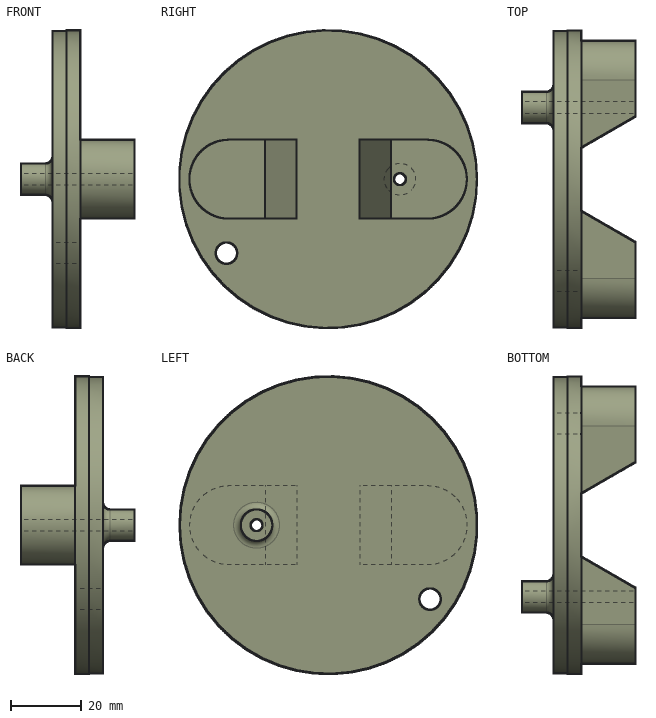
import cadquery as cq
import math

disc_diameter = 85.0
front_layer_diameter = 84.7
layer_thickness = 4.0

spigot_diameter = 9.0
spigot_length = 9.0
spigot_fillet = 2.0
spigot_y = 20.5
bore_diameter = 3.3

plate_hole_diameter = 6.0
plate_hole_y = -29.0
plate_hole_z = -21.1

lug_height = 15.5
lug_width = 22.5
lug_round_y = 28.3
lug_tip_y = 17.9
lug_slope_angle = 30.0

plate_back = 2 * layer_thickness
lug_end = plate_back + lug_height


def cylinder(diameter, x_start, x_end, y=0.0, z=0.0):
    """Cylinder along X."""
    return (
        cq.Workplane("YZ", origin=(x_start, y, z))
        .circle(diameter / 2)
        .extrude(x_end - x_start)
    )


def lug():
    """Lug on the +Y side: a half-round end joined to a straight body with a sloped face."""
    lug_root_y = lug_tip_y - lug_height * math.tan(math.radians(lug_slope_angle))
    body = (
        cq.Workplane("XY")
        .polyline([
            (plate_back, lug_root_y),
            (lug_end, lug_tip_y),
            (lug_end, lug_round_y),
            (plate_back, lug_round_y),
        ])
        .close()
        .extrude(lug_width / 2, both=True)
    )
    half_width = lug_width / 2
    round_end = (
        cq.Workplane("YZ", origin=(plate_back, 0, 0))
        .moveTo(lug_round_y, -half_width)
        .threePointArc((lug_round_y + half_width, 0), (lug_round_y, half_width))
        .close()
        .extrude(lug_height)
    )
    return body.union(round_end)


def spigot():
    """Spigot turned about its own axis, flaring into the plate with a concave fillet."""
    radius = spigot_diameter / 2
    flare_radius = radius + spigot_fillet
    arc_offset = spigot_fillet * (1 - math.sqrt(0.5))
    return (
        cq.Workplane("XY", origin=(0, spigot_y, 0))
        .moveTo(-spigot_length, 0)
        .lineTo(-spigot_length, radius)
        .lineTo(-spigot_fillet, radius)
        .threePointArc((-arc_offset, radius + arc_offset), (0, flare_radius))
        .lineTo(0, 0)
        .close()
        .revolve(360, (0, 0, 0), (1, 0, 0))
    )


front_layer = cylinder(front_layer_diameter, 0, layer_thickness)
back_layer = cylinder(disc_diameter, layer_thickness, plate_back)
bore = cylinder(bore_diameter, -spigot_length, lug_end, spigot_y)
plate_hole = cylinder(plate_hole_diameter, 0, plate_back, plate_hole_y, plate_hole_z)

lug_plus_y = lug()
lug_minus_y = lug_plus_y.mirror("XZ")

result = (
    front_layer
    .union(back_layer)
    .union(lug_plus_y)
    .union(lug_minus_y)
    .union(spigot())
    .cut(bore)
    .cut(plate_hole)
)